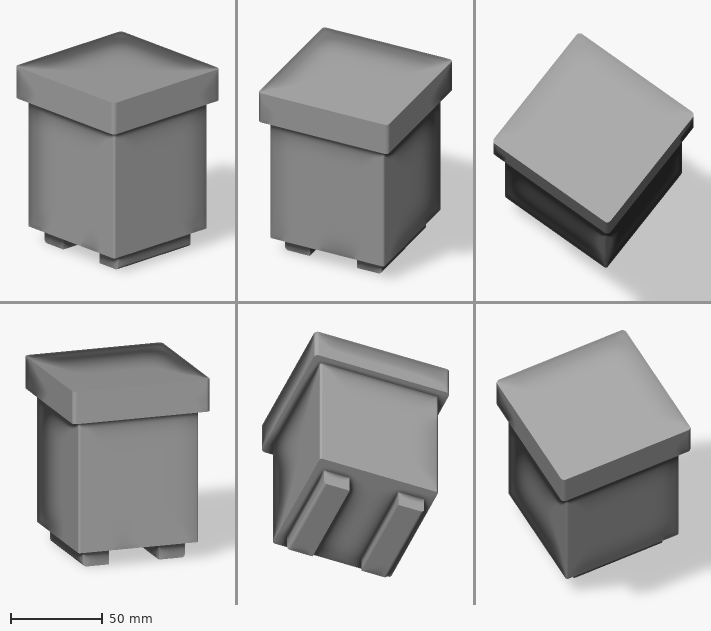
import cadquery as cq

total_height = 104.0
cap_height = 18.5
foot_height = 10.2
body_height = total_height - cap_height - foot_height

cap_width = 80.0
cap_corner_radius = 2.3
body_width = 70.0
body_corner_radius = 1.2

foot_outer_span = 59.3
foot_width = 15.2
foot_length = 54.3
foot_edge_radius = 2.0


def rounded_square_block(width, height, corner_radius, base_z):
    """Square block with rounded vertical edges."""
    block = cq.Workplane("XY").workplane(offset=base_z).rect(width, width).extrude(height)
    return block.edges("|Z").fillet(corner_radius)


def foot(side):
    """Foot on the given X side, with its lower outer edge rounded."""
    center_x = side * (foot_outer_span - foot_width) / 2
    outer_face = ">X" if side > 0 else "<X"
    block = cq.Workplane("XY").center(center_x, 0).rect(foot_width, foot_length).extrude(foot_height)
    return block.faces(outer_face).edges("<Z").fillet(foot_edge_radius)


body = rounded_square_block(body_width, body_height, body_corner_radius, foot_height)
cap = rounded_square_block(cap_width, cap_height, cap_corner_radius, foot_height + body_height)

result = body.union(cap)
for side in (-1, 1):
    result = result.union(foot(side))